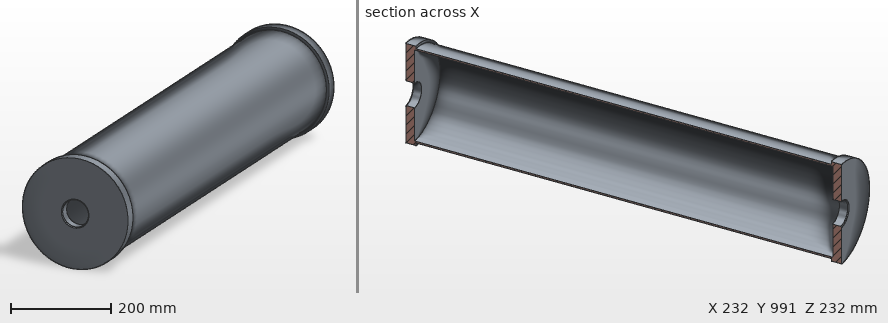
import cadquery as cq

overall_length = 991.0
cap_diameter = 232.0
cap_width = 24.0
tube_outer_diameter = 220.0
tube_inner_diameter = 210.0

end_wall = 21.0
port_diameter = 56.0
port_chamfer = 2.0

cap_radius = cap_diameter / 2
tube_outer_radius = tube_outer_diameter / 2
tube_inner_radius = tube_inner_diameter / 2
port_radius = port_diameter / 2

end_y = overall_length / 2
cap_shoulder_y = end_y - cap_width
chamber_end_y = end_y - end_wall


end_profile = [
    (tube_outer_radius, cap_shoulder_y),
    (cap_radius, cap_shoulder_y),
    (cap_radius, end_y),
    (port_radius + port_chamfer, end_y),
    (port_radius, end_y - port_chamfer),
    (port_radius, chamber_end_y),
    (tube_inner_radius, chamber_end_y),
]

opposite_end_profile = [(radius, -y) for radius, y in reversed(end_profile)]

wall_section = cq.Workplane("XY").polyline(end_profile + opposite_end_profile).close()
result = wall_section.revolve(360, (0, 0, 0), (0, 1, 0))